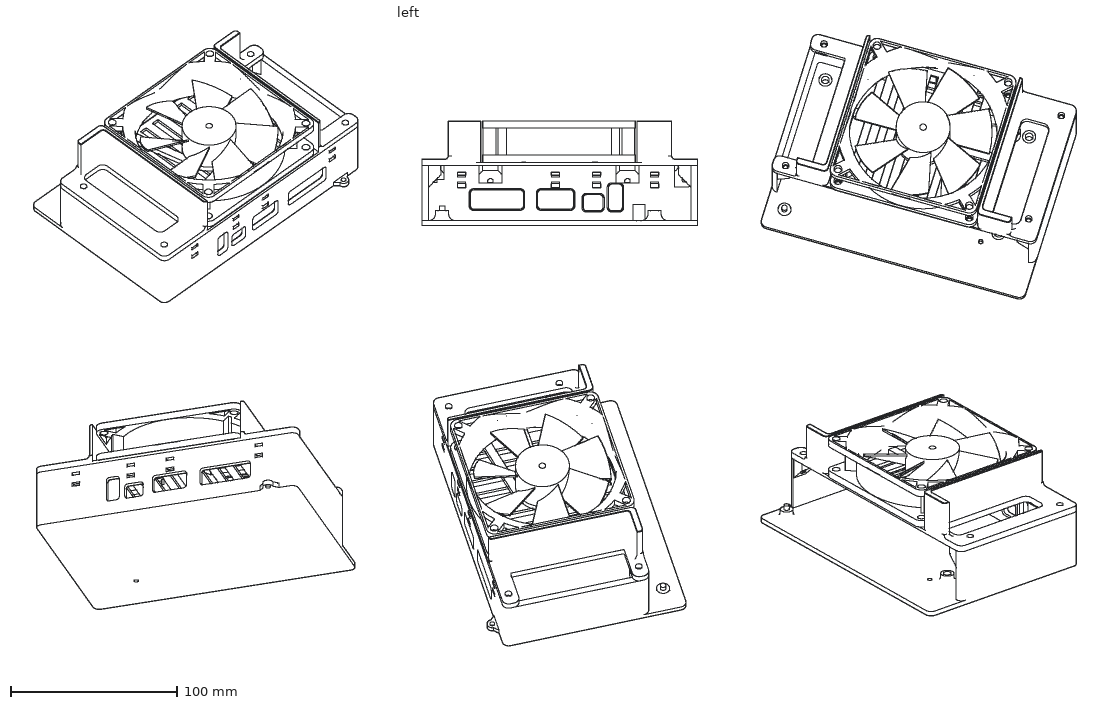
import cadquery as cq
import math

length = 166.0
base_width = 114.5
plate_thickness = 3.0
corner_radius = 4.0
wall = 4.0
inner_corner_radius = 2.0
wall_start = 23.2
wall_top = 36.0
lid_floor = 38.0
lid_top = 40.0
overall_height = 63.0
small_gap = 1.7

wall_inner_x = base_width - wall

fan_x = 68.2
fan_y = 83.5
fan_size = 92.0
fan_screw_pitch = 82.5
fan_screw_hole = 4.6
flange_thickness = 4.5
frame_corner_radius = 5.0
throat_diameter = 89.0
throat_wall = 1.3
flare_radius = 6.6
rim = 1.3
hub_diameter = 32.5
shaft_diameter = 4.0
hub_top = 60.5
motor_top = 41.5
fan_height = overall_height - lid_floor
fan_mid_z = lid_floor + fan_height / 2
throat_radius = throat_diameter / 2


def box(x0, x1, y0, y1, z0, z1):
    """Box between opposite corners."""
    return cq.Workplane("XY").box(x1 - x0, y1 - y0, z1 - z0, centered=False).translate((x0, y0, z0))


def cylinder(x, y, diameter, z0, z1):
    """Upright cylinder."""
    return cq.Workplane("XY").workplane(offset=z0).center(x, y).circle(diameter / 2).extrude(z1 - z0)


fan_screws = [
    (fan_x + side_x * fan_screw_pitch / 2, fan_y + side_y * fan_screw_pitch / 2)
    for side_x in (-1, 1)
    for side_y in (-1, 1)
]

lid_screws = [(37.2, 8.0), (106.2, 8.0), (28.2, 158.0), (109.5, 158.0)]
lid_screw_hole = 4.0
lid_screw_pilot = 2.8
fan_screw_pilot = 3.3
pilot_depth = 10.0

standoff_diameter = 8.0
standoff_height = 6.0
standoff_fillet = 4.0
standoff_hole = 4.6
pin_standoff = (12.0, 153.9)
pin_diameter = 3.3
pin_height = 2.8
hole_standoffs = [(98.5, 153.9), (33.9, 25.9), (98.5, 25.9)]

post_diameter = 7.3
post_top = 12.8
post_x = 98.5
post_y = 35.2

ear_x = 117.2
ear_y = 148.9
ear_radius = 3.2
ear_hole = 2.8
ear_root_half_length = 6.0

cable_hole = (27.9, 35.4)
cable_hole_diameter = 2.7

window_radius = 2.0
window_bevel = 0.8
windows = [
    (120.8, 10.0, 31.9, 11.5),
    (85.5, 10.0, 21.5, 11.5),
    (62.9, 9.0, 11.8, 9.6),
    (49.5, 9.0, 8.3, 16.0),
]

tie_slot_centers = [142.1, 85.7, 60.8, 25.9]
tie_slot_width = 4.8
upper_slot_bottom = 29.4
upper_slot_top = 32.0
lower_slot_bottom = 22.9
lower_slot_top = 26.2
slot_slope = 1.0

gusset_depth = 7.5
gusset_bottom = 23.0
gusset_start = 24.2
front_gusset_end = 44.2
back_gusset_end = 33.2
fan_boss_half_width = 7.0
fan_boss_front = 103.1
fan_boss_bottom = 25.5
boss_bevel = 2.3
front_corner_boss = (13.8, 99.3, 23.2, 11.3)
back_corner_boss = (152.7, 104.7, 27.7, 5.8)


def standoff(x, y):
    """Round standoff that flares into the plate with a concave fillet."""
    radius = standoff_diameter / 2
    foot = radius + standoff_fillet
    bend = standoff_fillet * (1 - math.sqrt(0.5))
    return (
        cq.Workplane("XZ")
        .lineTo(foot, 0)
        .threePointArc((radius + bend, bend), (radius, standoff_fillet))
        .lineTo(radius, standoff_height)
        .lineTo(0, standoff_height)
        .close()
        .revolve(360, (0, 0), (0, 1))
        .translate((x, y, plate_thickness))
    )


def x_wall_boss(y0, y1, front_x, bottom_z, slope, bevel):
    """Boss on the +X wall whose underside slopes from bottom_z at the wall up to its front."""
    body = box(front_x, base_width - wall / 2, y0, y1, bottom_z, wall_top).edges("|Z and <X").chamfer(bevel)
    underside = (
        cq.Workplane("XZ")
        .moveTo(wall_inner_x, bottom_z - small_gap)
        .lineTo(wall_inner_x, bottom_z)
        .lineTo(front_x, bottom_z + slope)
        .lineTo(front_x - small_gap, bottom_z + slope)
        .lineTo(front_x - small_gap, bottom_z - small_gap)
        .close()
        .extrude(-length)
    )
    return body.cut(underside)


def y_wall_boss(x0, x1, outside_y, inward):
    """Gusset boss on an end wall; inward is +1 or -1 along Y."""
    wall_y = outside_y + inward * wall
    root_y = wall_y - inward * wall / 2
    front_y = wall_y + inward * gusset_depth
    return (
        cq.Workplane("YZ")
        .workplane(offset=x0)
        .moveTo(root_y, wall_top)
        .lineTo(front_y, wall_top)
        .lineTo(front_y, gusset_bottom + gusset_depth)
        .lineTo(wall_y, gusset_bottom)
        .lineTo(root_y, gusset_bottom)
        .close()
        .extrude(x1 - x0)
    )


def make_bosses():
    """All screw bosses under the lid."""
    front_y, front_x, front_bottom, front_slope = front_corner_boss
    back_y, back_x, back_bottom, back_slope = back_corner_boss
    bosses = [
        y_wall_boss(gusset_start, front_gusset_end, 0, 1),
        y_wall_boss(gusset_start, back_gusset_end, length, -1),
        x_wall_boss(wall / 2, front_y, front_x, front_bottom, front_slope, inner_corner_radius),
        x_wall_boss(back_y, length - wall / 2, back_x, back_bottom, back_slope, inner_corner_radius),
    ]
    for side in (-1, 1):
        y = fan_y + side * fan_screw_pitch / 2
        bosses.append(
            x_wall_boss(y - fan_boss_half_width, y + fan_boss_half_width, fan_boss_front, fan_boss_bottom,
                        wall_inner_x - fan_boss_front, boss_bevel)
        )
    return bosses


def window_cut(y, bottom, size_y, size_z):
    """Rounded window through the +X wall with a wider step on its inner side."""
    z = bottom + size_z / 2
    opening = (
        box(wall_inner_x - small_gap, base_width + small_gap, y - size_y / 2, y + size_y / 2,
            z - size_z / 2, z + size_z / 2)
        .edges("|X")
        .fillet(window_radius)
    )
    bevel = (
        box(wall_inner_x, wall_inner_x + window_bevel, y - size_y / 2 - window_bevel,
            y + size_y / 2 + window_bevel, z - size_z / 2 - window_bevel, z + size_z / 2 + window_bevel)
        .edges("|X")
        .fillet(window_radius + window_bevel)
        .faces(">X")
        .chamfer(window_bevel * 0.99)
    )
    return opening.union(bevel)


def tie_slot_cut(y):
    """Pair of cable-tie slots; the faces next to the bar between them slope through the wall."""
    inside = wall_inner_x
    outside = base_width
    upper = [
        (inside, upper_slot_bottom),
        (outside, upper_slot_bottom + slot_slope),
        (outside, upper_slot_top),
        (inside, upper_slot_top),
    ]
    lower = [
        (inside, lower_slot_bottom),
        (outside, lower_slot_bottom),
        (outside, lower_slot_top - slot_slope),
        (inside, lower_slot_top),
    ]
    plane = cq.Workplane("XZ", origin=(0, y, 0))
    half = tie_slot_width / 2
    return plane.polyline(upper).close().extrude(half, both=True).union(
        plane.polyline(lower).close().extrude(half, both=True)
    )


def make_base():
    body = box(0, base_width, 0, length, 0, plate_thickness).edges("|Z").fillet(corner_radius)
    walls = box(wall_start, base_width, 0, length, 0, wall_top).edges("|Z").fillet(corner_radius)
    cavity = (
        box(wall_start - small_gap, wall_inner_x, wall, length - wall, plate_thickness, wall_top)
        .edges("|Z and >X")
        .fillet(inner_corner_radius)
    )
    body = body.union(walls.cut(cavity))
    for boss in make_bosses():
        body = body.union(boss)

    ear = (
        cq.Workplane("XY")
        .polyline([
            (wall_inner_x, ear_y - ear_root_half_length),
            (base_width, ear_y - ear_root_half_length),
            (ear_x, ear_y - ear_radius),
            (ear_x, ear_y + ear_radius),
            (base_width, ear_y + ear_root_half_length),
            (wall_inner_x, ear_y + ear_root_half_length),
        ])
        .close()
        .extrude(plate_thickness)
        .union(cylinder(ear_x, ear_y, 2 * ear_radius, 0, plate_thickness))
        .cut(cylinder(ear_x, ear_y, ear_hole, 0, plate_thickness))
    )
    body = body.union(ear)

    standoff_top = plate_thickness + standoff_height
    body = body.union(standoff(*pin_standoff))
    body = body.union(cylinder(*pin_standoff, pin_diameter, standoff_top, standoff_top + pin_height))
    for x, y in hole_standoffs:
        body = body.union(standoff(x, y))
        body = body.cut(cylinder(x, y, standoff_hole, plate_thickness, standoff_top))
    body = body.union(cylinder(post_x, post_y, post_diameter, plate_thickness, post_top))

    body = body.cut(cylinder(*cable_hole, cable_hole_diameter, 0, plate_thickness))
    for window in windows:
        body = body.cut(window_cut(*window))
    for y in tie_slot_centers:
        body = body.cut(tie_slot_cut(y))
    for x, y in lid_screws:
        body = body.cut(cylinder(x, y, lid_screw_pilot, wall_top - pilot_depth, wall_top))
    for x, y in fan_screws:
        if x > fan_x:
            body = body.cut(cylinder(x, y, fan_screw_pilot, wall_top - pilot_depth, wall_top))
    return body


seat_start = 36.5
seat_end = 130.5
screen_thickness = 2.2
screen_return_thickness = 4.0
front_return = 20.9
back_return = 19.8
screen_corner_radius = 2.7
screen_fillet = 2.0
screen_inside_radius = 2.2
screen_top_chamfer = 0.3
screen_end_radius = 1.7
seam_margin = 0.2

notch_x0 = 33.4
notch_x1 = 104.2
notch_start = 143.1
notch_corner_radius = 0.8
opening_x0 = 31.2
opening_x1 = 98.3
opening_y0 = 12.5
opening_y1 = 30.0

slot_count = 8
slot_pitch = 10.0
slot_width = 4.6
slot_length = 82.3
fan_clearance_hole = 3.5


def corner_rounding(x, y, inward_x, inward_y, radius, start_z):
    """Tool that rounds an upright outside corner of a screen from start_z to its top."""
    center_x = x + inward_x * radius
    center_y = y + inward_y * radius
    block = box(min(x, center_x), max(x, center_x), min(y, center_y), max(y, center_y), start_z, overall_height)
    return block.cut(cylinder(center_x, center_y, 2 * radius, start_z, overall_height))


def lid_end(pad_depth, return_length):
    """Half of the lid: raised pad and L-shaped screen on the +Y side of Y = 0, half the fan seat on the other."""
    half_seat = (seat_end - seat_start) / 2
    seat = box(wall_start, base_width, -half_seat, 0, wall_top, lid_floor)
    leg_x = wall_start + screen_return_thickness
    pad = box(wall_start, base_width, 0, pad_depth, wall_top, lid_top).edges("|Z and >Y").fillet(corner_radius)
    screen = (
        cq.Workplane("XY")
        .workplane(offset=wall_top)
        .polyline([
            (wall_start, 0),
            (base_width, 0),
            (base_width, screen_thickness),
            (leg_x, screen_thickness),
            (leg_x, return_length),
            (wall_start, return_length),
        ])
        .close()
        .extrude(overall_height - wall_top)
    )
    inside_corner = cq.selectors.NearestToPointSelector((leg_x, screen_thickness, fan_mid_z))
    screen = screen.edges(inside_corner).fillet(screen_inside_radius)
    seam = cq.selectors.BoxSelector(
        (wall_start + seam_margin, seam_margin, lid_top - seam_margin),
        (base_width - seam_margin, return_length + small_gap, lid_top + seam_margin),
    )
    body = pad.union(screen).union(seat).edges(seam).fillet(screen_fillet)
    body = body.cut(corner_rounding(wall_start, 0, 1, 1, screen_corner_radius, lid_floor))
    above_fillet = lid_top + screen_fillet
    body = body.cut(corner_rounding(wall_start, return_length, 1, -1, screen_fillet, above_fillet))
    body = body.cut(corner_rounding(base_width, screen_thickness, -1, -1, screen_end_radius, above_fillet))
    return body.faces(">Z").edges().chamfer(screen_top_chamfer)


def make_lid():
    back_half = lid_end(length - seat_end, back_return).translate((0, seat_end, 0))
    front_half = lid_end(seat_start, front_return).mirror("XZ").translate((0, seat_start, 0))
    body = back_half.union(front_half)

    notch = (
        box(notch_x0, notch_x1, notch_start, length + small_gap, wall_top, lid_top)
        .edges("|Z and <Y")
        .fillet(notch_corner_radius)
    )
    body = body.cut(notch)
    tab_corners = cq.selectors.BoxSelector(
        (notch_x0 - small_gap, length - small_gap, wall_top), (notch_x1 + small_gap, length + small_gap, lid_top)
    )
    body = body.edges("|Z").edges(tab_corners).fillet(corner_radius)
    opening = (
        box(opening_x0, opening_x1, opening_y0, opening_y1, wall_top, lid_top).edges("|Z").fillet(corner_radius)
    )
    body = body.cut(opening)

    grille = (
        cq.Workplane("XY")
        .workplane(offset=wall_top)
        .center(fan_x, fan_y)
        .rarray(1.7, slot_pitch, 1, slot_count)
        .rect(slot_length, slot_width)
        .extrude(lid_floor - wall_top)
    )
    body = body.cut(grille)
    for x, y in lid_screws:
        body = body.cut(cylinder(x, y, lid_screw_hole, wall_top, lid_top))
    for x, y in fan_screws:
        body = body.cut(cylinder(x, y, fan_clearance_hole, wall_top, lid_floor))
    return body


pocket_inner_radius = 52.1
spoke_width = 6.6
screw_land = 6.6
web_thickness = 2.0
web_reach = 52.8
strut_width = 5.3
strut_height = 3.3
struts = [(90, -4.2), (194, 15.0), (270, 0.0), (-79, 15.6)]


def flare_tool():
    """Rounded inlet of the throat at the top of the frame, about the Z axis."""
    outer = throat_radius + flare_radius
    start_z = overall_height - flare_radius
    bend = flare_radius * math.sqrt(0.5)
    inner_half = fan_size / 2 - rim
    tool = (
        cq.Workplane("XZ")
        .moveTo(0, start_z)
        .lineTo(throat_radius, start_z)
        .threePointArc((outer - bend, start_z + bend), (outer, overall_height))
        .lineTo(0, overall_height)
        .close()
        .revolve(360, (0, 0), (0, 1))
    )
    return tool.intersect(box(-inner_half, inner_half, -inner_half, inner_half, 0, overall_height))


def corner_pockets():
    """Pockets through the upper flange, split by diagonal bridges, about the Z axis."""
    low = overall_height - flange_thickness
    inner_half = fan_size / 2 - rim
    tool = box(-inner_half, inner_half, -inner_half, inner_half, low, overall_height)
    tool = tool.cut(cylinder(0, 0, 2 * pocket_inner_radius, low, overall_height))
    for angle in (45, 135):
        bridge = box(-fan_size, fan_size, -spoke_width / 2, spoke_width / 2, low, overall_height)
        tool = tool.cut(bridge.rotate((0, 0, 0), (0, 0, 1), angle))
    for x, y in fan_screws:
        tool = tool.cut(cylinder(x - fan_x, y - fan_y, screw_land, low, overall_height))
    return tool


def make_frame():
    half = fan_size / 2
    body = cylinder(0, 0, throat_diameter + 2 * throat_wall, lid_floor, overall_height)
    for z in (lid_floor, overall_height - flange_thickness):
        flange = box(-half, half, -half, half, z, z + flange_thickness)
        body = body.union(flange.edges("|Z").fillet(frame_corner_radius))
    web = box(-web_reach, web_reach, -web_thickness / 2, web_thickness / 2, lid_floor,
              overall_height - flange_thickness)
    for angle in (45, 135):
        body = body.union(web.rotate((0, 0, 0), (0, 0, 1), angle))

    body = body.cut(cylinder(0, 0, throat_diameter, lid_floor, overall_height))
    upper_flare = flare_tool()
    body = body.cut(upper_flare)
    body = body.cut(upper_flare.mirror("XY", (0, 0, fan_mid_z)))
    body = body.cut(corner_pockets())

    motor = cylinder(0, 0, hub_diameter, lid_floor, motor_top)
    for angle, offset in struts:
        strut = box(0, throat_radius, offset - strut_width / 2, offset + strut_width / 2, lid_floor,
                    lid_floor + strut_height)
        motor = motor.union(strut.rotate((0, 0, 0), (0, 0, 1), angle))
    motor = motor.union(cylinder(0, 0, shaft_diameter, lid_floor, hub_top))
    body = body.union(motor)
    body = body.translate((fan_x, fan_y, 0))
    for x, y in fan_screws:
        body = body.cut(cylinder(x, y, fan_screw_hole, lid_floor, overall_height))
    return body


blade_count = 7
blade_tip_radius = 41.5
blade_root_radius = 15.0
blade_thickness = 1.3
blade_high_z = 59.0
blade_low_z = 46.1
first_blade_angle = 64.5
tip_sweep = 33.7
root_sweep = 48.0


def blade_edge(radius, sweep):
    """Curve that climbs around a cylinder from the trailing to the leading edge."""
    points = []
    for part in (0, 0.5, 1):
        angle = math.radians(first_blade_angle + sweep * part)
        z = blade_low_z + (blade_high_z - blade_low_z) * part - blade_thickness
        points.append(cq.Vector(radius * math.cos(angle), radius * math.sin(angle), z))
    return cq.Edge.makeSpline(points)


def make_rotor():
    skin = cq.Face.makeRuledSurface(
        blade_edge(blade_root_radius, root_sweep), blade_edge(blade_tip_radius, tip_sweep)
    )
    blade = cq.Workplane(cq.Solid.extrudeLinear(skin, cq.Vector(0, 0, blade_thickness)))
    body = cylinder(0, 0, hub_diameter, motor_top, hub_top)
    for index in range(blade_count):
        body = body.union(blade.rotate((0, 0, 0), (0, 0, 1), index * 360 / blade_count))
    body = body.cut(cylinder(0, 0, shaft_diameter, motor_top, hub_top))
    return body.translate((fan_x, fan_y, 0))


base = make_base()
lid = make_lid()
fan_frame = make_frame()
fan_rotor = make_rotor()

result = cq.Compound.makeCompound([
    *base.solids().vals(),
    *lid.solids().vals(),
    *fan_frame.solids().vals(),
    *fan_rotor.solids().vals(),
])